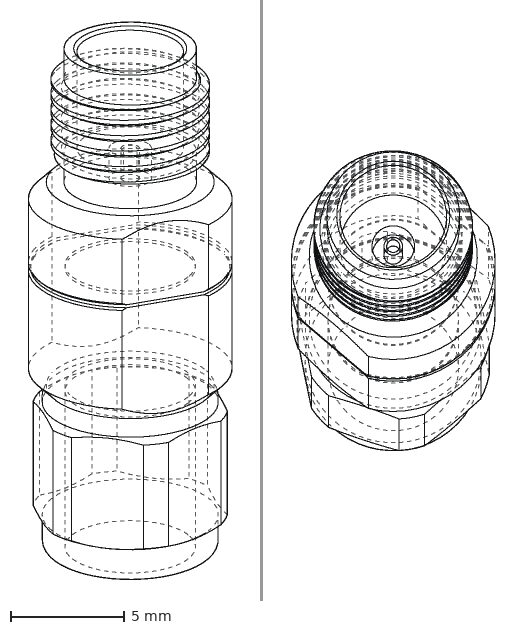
import cadquery as cq
import math

TOTAL_HEIGHT = 24.0
NUT_HEIGHT = 7.5
BARREL_BOTTOM = 7.8
GROOVE_BOTTOM = 13.45
GROOVE_TOP = 13.58
BARREL_TOP = 17.57
THREAD_BOTTOM = 19.0
THREAD_TOP = 22.55

BARREL_DIAMETER = 9.0
BARREL_RADIUS = BARREL_DIAMETER / 2
BARREL_FLAT_WIDTH = 8.0
BARREL_END_CHAMFER = 0.8
GROOVE_EDGE_CHAMFER = 0.1
NECK_RADIUS = 2.88

COLLAR_RADIUS = 3.9
COLLAR_TOP_FILLET = 0.25
COLLAR_BOTTOM_FILLET = 0.35
HEX_BOTTOM = 1.55
HEX_TOP = 6.98
HEX_FLAT_WIDTH = 8.0
HEX_CORNER_RADIUS = 4.32
HEX_EDGE_CHAMFER = 0.22
HEX_TURN = 22.6

TUBE_RADIUS = 2.93
THREAD_RADIUS = 3.5
THREAD_PITCH = 0.75
THREAD_DEPTH = 0.45
THREAD_FLANK_ANGLE = 30.0
THREAD_CUT_OVERSHOOT = 0.1
THREAD_VALLEY_START = 18.67

SOCKET_RADIUS = 2.35
SOCKET_DEPTH = 4.8
MOUTH_CHAMFER = 0.15
CONTACT_CAVITY_RADIUS = 0.94
CONTACT_CAVITY_DEPTH = 1.45
CONTACT_RADIUS = 0.4
CONTACT_HOLE_RADIUS = 0.3
CONTACT_HOLE_DEPTH = 0.95


def cylinder(radius, bottom, top):
    return cq.Workplane("XY").workplane(offset=bottom).circle(radius).extrude(top - bottom)


def make_barrel():
    """Two chamfered sections, parted by the groove, with a flat on each X side."""
    lower = cylinder(BARREL_RADIUS, BARREL_BOTTOM, GROOVE_BOTTOM)
    lower = lower.faces("<Z").chamfer(BARREL_END_CHAMFER).faces(">Z").chamfer(GROOVE_EDGE_CHAMFER)
    upper = cylinder(BARREL_RADIUS, GROOVE_TOP, BARREL_TOP)
    upper = upper.faces(">Z").chamfer(BARREL_END_CHAMFER).faces("<Z").chamfer(GROOVE_EDGE_CHAMFER)
    flats = cq.Workplane("XY").box(
        BARREL_FLAT_WIDTH, BARREL_DIAMETER, TOTAL_HEIGHT, centered=(True, True, False)
    )
    return lower.union(upper).intersect(flats)


def make_threaded_sleeve():
    """Sleeve with a helical V groove; the groove runs out through both end faces."""
    sleeve = cylinder(THREAD_RADIUS, THREAD_BOTTOM, THREAD_TOP)
    cut_radius = THREAD_RADIUS + THREAD_CUT_OVERSHOOT
    half_width = (THREAD_DEPTH + THREAD_CUT_OVERSHOOT) * math.tan(math.radians(THREAD_FLANK_ANGLE))
    valley_height = THREAD_TOP + THREAD_PITCH - THREAD_VALLEY_START
    helix = cq.Wire.makeHelix(
        THREAD_PITCH, valley_height, THREAD_RADIUS, center=cq.Vector(0, 0, THREAD_VALLEY_START)
    )
    valley = (
        cq.Workplane("XZ")
        .moveTo(THREAD_RADIUS - THREAD_DEPTH, THREAD_VALLEY_START)
        .lineTo(cut_radius, THREAD_VALLEY_START - half_width)
        .lineTo(cut_radius, THREAD_VALLEY_START + half_width)
        .close()
        .sweep(cq.Workplane(helix), isFrenet=True)
    )
    return sleeve.cut(valley)


def make_socket():
    """Bore with a chamfered mouth and, in its floor, a cavity around the contact."""
    floor = TOTAL_HEIGHT - SOCKET_DEPTH
    bore = cylinder(SOCKET_RADIUS, floor, TOTAL_HEIGHT)
    mouth = cq.Solid.makeCone(
        SOCKET_RADIUS,
        SOCKET_RADIUS + MOUTH_CHAMFER,
        MOUTH_CHAMFER,
        pnt=cq.Vector(0, 0, TOTAL_HEIGHT - MOUTH_CHAMFER),
    )
    cavity = cylinder(CONTACT_CAVITY_RADIUS, floor - CONTACT_CAVITY_DEPTH, floor)
    contact = cylinder(CONTACT_RADIUS, floor - CONTACT_CAVITY_DEPTH, floor)
    contact_hole = cylinder(CONTACT_HOLE_RADIUS, floor - CONTACT_HOLE_DEPTH, floor)
    return bore.union(cq.Workplane(mouth)).union(cavity.cut(contact)).union(contact_hole)


def make_connector():
    """Barrel, threaded tube and the plain shaft that carries the nut, as one body."""
    shaft = cylinder(NECK_RADIUS, 0, BARREL_TOP)
    tube = cylinder(TUBE_RADIUS, BARREL_TOP, TOTAL_HEIGHT)
    outside = make_barrel().union(shaft).union(tube).union(make_threaded_sleeve())
    return outside.cut(make_socket())


def make_hexagon():
    """Hexagon trimmed to round corners whose two ends are turned to a shallow cone."""
    hexagon = (
        cq.Workplane("XY")
        .workplane(offset=HEX_BOTTOM)
        .polygon(6, HEX_FLAT_WIDTH, circumscribed=True)
        .extrude(HEX_TOP - HEX_BOTTOM)
        .rotate((0, 0, 0), (0, 0, 1), HEX_TURN)
    )
    chamfer_width = HEX_CORNER_RADIUS - COLLAR_RADIUS
    blank = cylinder(HEX_CORNER_RADIUS, HEX_BOTTOM, HEX_TOP)
    blank = blank.faces("<Z or >Z").chamfer(HEX_EDGE_CHAMFER, chamfer_width)
    return hexagon.intersect(blank)


def make_nut():
    """Rounded collar carrying the hexagon, bored to fit over the connector shaft."""
    collar = cylinder(COLLAR_RADIUS, 0, NUT_HEIGHT)
    collar = collar.faces(">Z").edges().fillet(COLLAR_TOP_FILLET)
    collar = collar.faces("<Z").edges().fillet(COLLAR_BOTTOM_FILLET)
    return collar.union(make_hexagon()).cut(cylinder(NECK_RADIUS, 0, NUT_HEIGHT))


connector = make_connector()
coupling_nut = make_nut()

result = cq.Compound.makeCompound([connector.val(), coupling_nut.val()])